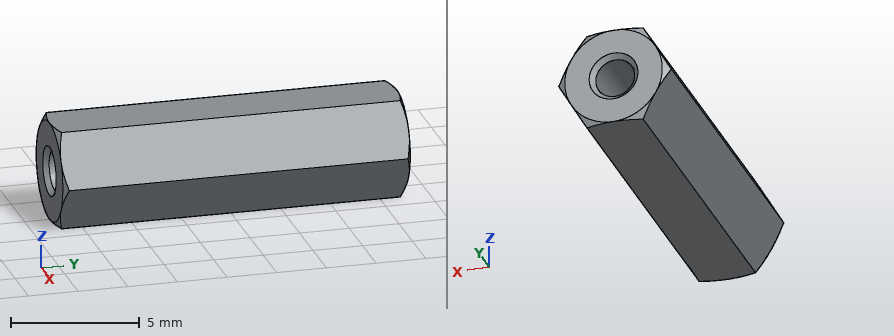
import cadquery as cq
import math

length = 14.0
across_flats = 4.0
hole_diameter = 1.6
countersink_diameter = 2.0
hole_depth = 5.0
corner_chamfer_angle = 30.0
countersink_angle = 45.0
drill_point_angle = 118.0

across_corners = across_flats / math.cos(math.radians(30))
half_length = length / 2
face_radius = across_flats / 2
corner_radius = across_corners / 2
hole_radius = hole_diameter / 2
countersink_radius = countersink_diameter / 2


def revolve_about_y(points):
    """Turn a closed (radius, y) outline into a solid around the Y axis."""
    return cq.Workplane("XY").polyline(points).close().revolve(360, (0, 0), (0, 1))


def hex_bar():
    """Hexagonal bar with corners on +X and -X, flats facing +Z and -Z."""
    profile = cq.Workplane("XZ").polygon(6, across_corners)
    return profile.extrude(half_length, both=True)


def chamfer_envelope():
    """Cylinder through the hexagon corners, with its ends coned down to the flats."""
    chamfer_length = (corner_radius - face_radius) * math.tan(math.radians(corner_chamfer_angle))
    shoulder = half_length - chamfer_length
    return revolve_about_y([
        (0, -half_length),
        (face_radius, -half_length),
        (corner_radius, -shoulder),
        (corner_radius, shoulder),
        (face_radius, half_length),
        (0, half_length),
    ])


def end_hole():
    """Countersunk blind hole with a conical bottom, entering from the -Y end."""
    countersink_depth = (countersink_radius - hole_radius) * math.tan(math.radians(countersink_angle))
    point_depth = hole_radius / math.tan(math.radians(drill_point_angle / 2))
    bottom = -half_length + hole_depth
    return revolve_about_y([
        (0, -half_length),
        (countersink_radius, -half_length),
        (hole_radius, -half_length + countersink_depth),
        (hole_radius, bottom),
        (0, bottom + point_depth),
    ])


front_hole = end_hole()
back_hole = front_hole.mirror("XZ")
result = hex_bar().intersect(chamfer_envelope()).cut(front_hole).cut(back_hole)